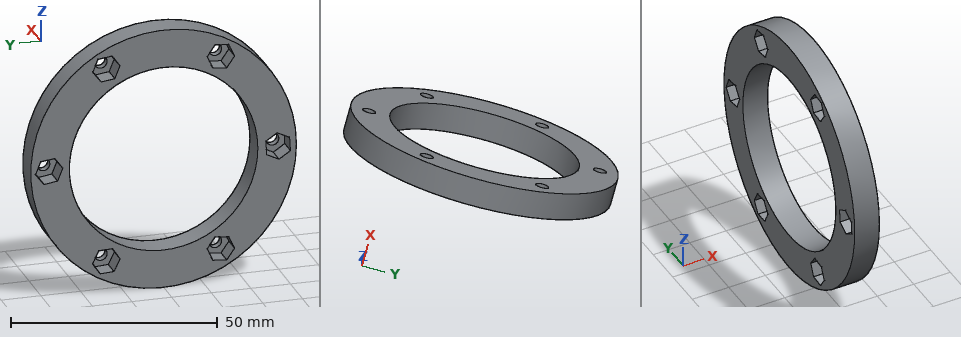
import cadquery as cq
import math

outer_diameter = 67.0
inner_diameter = 47.5
thickness = 6.8

bolt_circle_radius = 28.87
screw_diameter = 3.2
nut_sides = 6
nut_across_flats = 6.0
nut_across_corners = nut_across_flats / math.cos(math.pi / nut_sides)
pocket_floor_thickness = 2.0
nut_pocket_depth = thickness - pocket_floor_thickness

nut_turns = [33.5, -5.0, 8.0, 8.0, 3.5, -5.0]
hole_spacing = 360.0 / len(nut_turns)

nut_face = cq.Plane(origin=(-thickness / 2, 0, 0), xDir=(0, -1, 0), normal=(-1, 0, 0))


def make_ring():
    """Plain flat ring, reaching from the nut face toward +X."""
    return (
        cq.Workplane(nut_face)
        .circle(outer_diameter / 2)
        .circle(inner_diameter / 2)
        .extrude(-thickness)
    )


def make_screw_cut(position_angle, nut_turn):
    """Screw hole and its nut pocket, as one solid to be cut from the ring."""
    hole_x = bolt_circle_radius * math.cos(math.radians(position_angle))
    hole_y = bolt_circle_radius * math.sin(math.radians(position_angle))
    hole_face = cq.Workplane(nut_face).transformed(offset=(hole_x, hole_y, 0), rotate=(0, 0, nut_turn))
    screw_hole = hole_face.circle(screw_diameter / 2).extrude(-thickness)
    nut_pocket = hole_face.polygon(nut_sides, nut_across_corners).extrude(-nut_pocket_depth)
    return screw_hole.union(nut_pocket)


result = make_ring()
for index, turn in enumerate(nut_turns):
    result = result.cut(make_screw_cut(index * hole_spacing, turn))